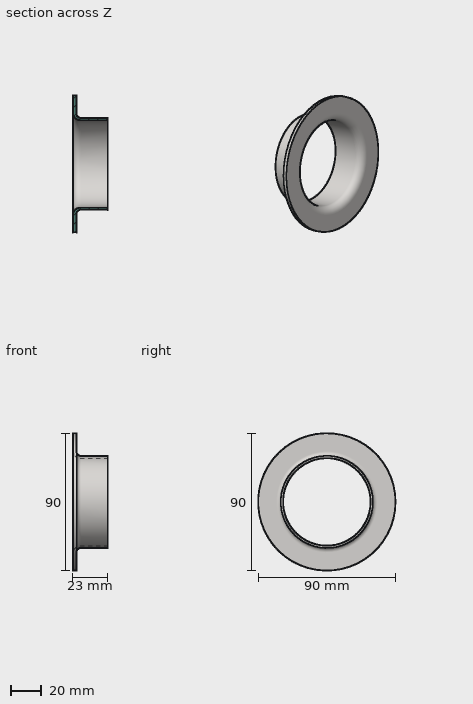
import cadquery as cq

flange_diameter = 90.0
tube_outer_diameter = 60.3
tube_bore_diameter = 57.1
total_length = 23.0
flange_thickness = 2.5
mouth_radius = 5.0
root_radius = 2.8

flange_radius = flange_diameter / 2
tube_radius = tube_outer_diameter / 2
bore_radius = tube_bore_diameter / 2

section = (
    cq.Workplane("XY")
    .moveTo(0, flange_radius)
    .lineTo(flange_thickness, flange_radius)
    .lineTo(flange_thickness, tube_radius + root_radius)
    .radiusArc((flange_thickness + root_radius, tube_radius), -root_radius)
    .lineTo(total_length, tube_radius)
    .lineTo(total_length, bore_radius)
    .lineTo(mouth_radius, bore_radius)
    .radiusArc((0, bore_radius + mouth_radius), mouth_radius)
    .close()
)

result = section.revolve(360, (0, 0, 0), (1, 0, 0))